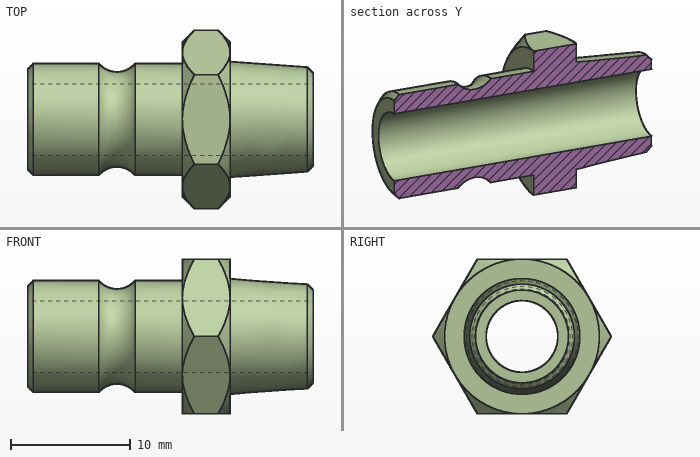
import cadquery as cq
import math

total_length = 24.0
bore_diameter = 6.0

plug_radius = 9.4 / 2
plug_chamfer = 0.48
groove_center_x = 7.5
groove_floor_radius = 8.0 / 2
groove_arc_radius = 2.0

hex_start_x = 13.0
hex_width = 4.0
hex_end_x = hex_start_x + hex_width
hex_sides = 6
hex_across_flats = 13.0
hex_across_corners = hex_across_flats / math.cos(math.pi / hex_sides)

taper_large_radius = 9.73 / 2
taper_small_radius = 8.8 / 2
taper_chamfer = 0.5
taper_end_x = total_length - taper_chamfer


def revolve_about_x(profile):
    """Close a profile drawn in X and radius, and turn it fully about the X axis."""
    return profile.close().revolve(360, (0, 0, 0), (1, 0, 0))


def make_plug():
    """Chamfered cylinder with a round-bottomed locking groove, ending inside the hexagon."""
    arc_center_radius = groove_floor_radius + groove_arc_radius
    half_width = math.sqrt(groove_arc_radius**2 - (arc_center_radius - plug_radius) ** 2)
    profile = (
        cq.Workplane("XY")
        .lineTo(0, plug_radius - plug_chamfer)
        .lineTo(plug_chamfer, plug_radius)
        .lineTo(groove_center_x - half_width, plug_radius)
        .threePointArc(
            (groove_center_x, groove_floor_radius),
            (groove_center_x + half_width, plug_radius),
        )
        .lineTo(hex_end_x, plug_radius)
        .lineTo(hex_end_x, 0)
    )
    return revolve_about_x(profile)


def make_hexagon():
    """Hexagon with flats facing +Z and -Z, its corners chamfered at 45 degrees on both ends."""
    prism = (
        cq.Workplane("YZ")
        .workplane(offset=hex_start_x)
        .polygon(hex_sides, hex_across_corners)
        .extrude(hex_width)
    )
    face_radius = hex_across_flats / 2
    middle_radius = face_radius + hex_width / 2
    envelope = (
        cq.Workplane("XY")
        .moveTo(hex_start_x, 0)
        .lineTo(hex_start_x, face_radius)
        .lineTo(hex_start_x + hex_width / 2, middle_radius)
        .lineTo(hex_end_x, face_radius)
        .lineTo(hex_end_x, 0)
    )
    return prism.intersect(revolve_about_x(envelope))


def make_tapered_end():
    """Cone narrowing away from the hexagon, chamfered at its tip."""
    profile = (
        cq.Workplane("XY")
        .moveTo(hex_end_x, 0)
        .lineTo(hex_end_x, taper_large_radius)
        .lineTo(taper_end_x, taper_small_radius)
        .lineTo(total_length, taper_small_radius - taper_chamfer)
        .lineTo(total_length, 0)
    )
    return revolve_about_x(profile)


def make_bore():
    """Straight bore through the whole length."""
    return cq.Workplane("YZ").circle(bore_diameter / 2).extrude(total_length)


result = make_plug().union(make_hexagon()).union(make_tapered_end()).cut(make_bore())